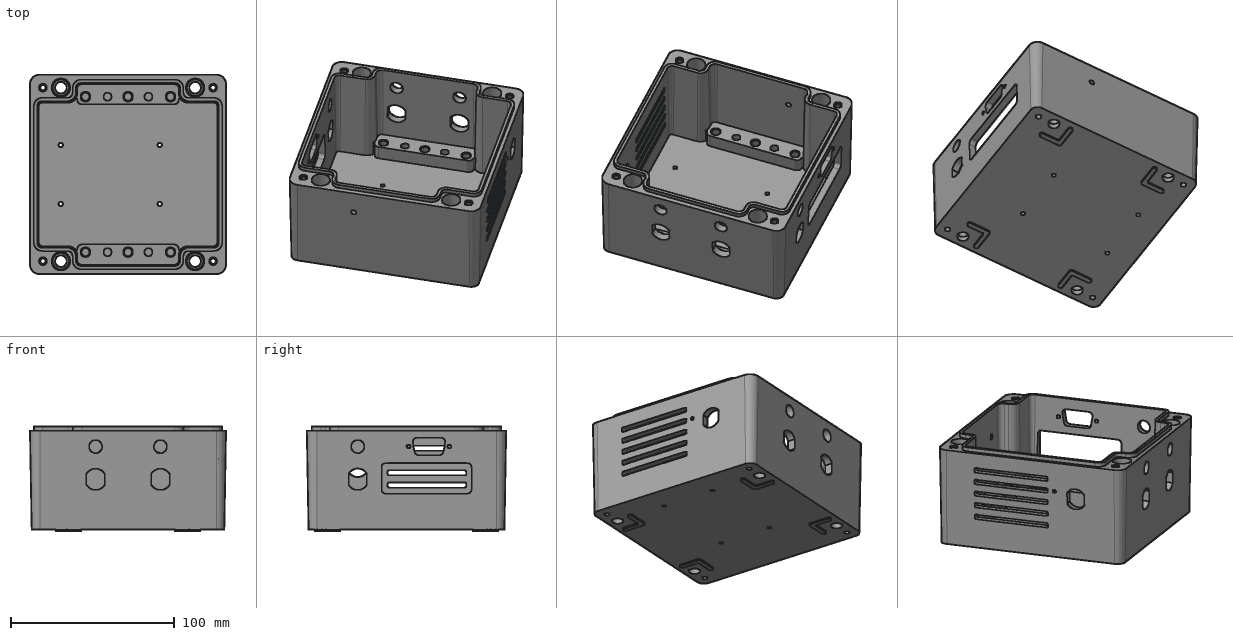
import cadquery as cq
import math

LENGTH_X = 120.0
LENGTH_Y = 122.0
BODY_HEIGHT = 60.6
LIP_HEIGHT = 2.5
FOOT_HEIGHT = 1.0
DRAFT = 1.0
CORNER_RADIUS = 6.0
FLOOR_THICKNESS = 4.0
RIM_Z = BODY_HEIGHT
LIP_Z = RIM_Z + LIP_HEIGHT

LIP_WIDTH = 2.0
LIP_HALF_X = 57.5
LIP_HALF_Y = 58.0
STEP_X = 33.9
STEP_Y = 46.8
LIP_END_RADIUS = 5.0
LIP_BULGE_RADIUS = 5.5
LIP_STEP_RADIUS = 3.0

SCREW_X = 41.0
SCREW_Y = 53.0
SCREW_HOLE_DIAMETER = 7.0
SCREW_WELL_DIAMETER = 11.3
SCREW_WELL_TAPER = 0.65
LID_HOLE_X = 52.0
LID_HOLE_Y = SCREW_Y
LID_HOLE_DIAMETER = 3.24
LID_RECESS_DIAMETER = 4.8
LID_RECESS_DEPTH = 1.0

PAD_HALF_X = 31.0
PAD_INNER_Y = 42.8
PAD_HEIGHT = 9.0
PAD_CORNER_RADIUS = 2.9
PAD_FLARE_Y = 46.2
PAD_FLARE_RADIUS = 0.4
PAD_HOLE_Y = 47.5
PAD_SCREW_XS = (-26.0, 0.0, 26.0)
PAD_PIN_XS = (-12.5, 12.5)
PAD_HOLE_DIAMETER = 4.92
PAD_SINK_DIAMETER = 6.0
PAD_SINK_ANGLE = 45.0
PAD_HOLE_DEPTH = 8.0

BOARD_HOLE_XS = (-41.1, 19.4)
BOARD_HOLE_YS = (-18.0, 18.0)
BOARD_HOLE_DIAMETER = 2.5

FOOT_INNER_X = 28.7
FOOT_INNER_Y = 40.6
FOOT_LEG = 15.6
FOOT_ARM_WIDTH = 3.0
FOOT_TIP_RADIUS = 1.4
FOOT_CROOK_RADIUS = 1.0

WALL_CUT_DEPTH = 8.0
LAMP_DIAMETER = 8.0
LAMP_DROP = 9.8
SOCKET_DIAMETER = 13.0
SOCKET_WIDTH = 11.2
SOCKET_DROP = 29.8
FRONT_SOCKET_XS = (-19.8, 19.8)
SIDE_SOCKET_Y = -29.8

VENT_COUNT = 5
VENT_LENGTH = 48.0
VENT_WIDTH = 3.0
VENT_CORNER_RADIUS = 1.0
VENT_PITCH = 7.5
VENT_Y = 12.5
VENT_TOP_DROP = 10.8
LEFT_SOCKET_DROP = 21.8
PILOT_DIAMETER = 2.0
PILOT_Y = -15.9
PILOT_DROP = 18.3
PILOT_DEPTH = 2.0
PILOT_TIP_HALF_ANGLE = 59.0

CONNECTOR_Y = 13.75
CONNECTOR_DROP = 9.7
CONNECTOR_TOP_WIDTH = 20.7
CONNECTOR_HEIGHT = 10.6
CONNECTOR_SIDE_ANGLE = 10.0
CONNECTOR_CORNER_RADIUS = 2.5
CONNECTOR_SCREW_SPACING = 25.0
CONNECTOR_SCREW_DIAMETER = 2.21
WINDOW_Y = 12.25
WINDOW_WIDTH = 55.0
WINDOW_HEIGHT = 18.6
WINDOW_DROP = 29.2
WINDOW_CORNER_RADIUS = 2.5
BACK_HOLE_X = 18.5
BACK_HOLE_DROP = 15.1
BACK_HOLE_DIAMETER = 3.24

QUADRANTS = ((1, 1), (-1, 1), (-1, -1), (1, -1))
FRONT, BACK, LEFT, RIGHT = "front", "back", "left", "right"


def rounded_outline(plane, corners):
    """Closed outline through (x, y, radius) corners, each rounded by its own radius."""
    outline = plane
    for index, (x, y, radius) in enumerate(corners):
        before = corners[index - 1]
        after = corners[(index + 1) % len(corners)]
        angle_in = math.atan2(y - before[1], x - before[0])
        angle_out = math.atan2(after[1] - y, after[0] - x)
        turn = math.remainder(angle_out - angle_in, 2 * math.pi)
        setback = radius * math.tan(abs(turn) / 2)
        start = (x - setback * math.cos(angle_in), y - setback * math.sin(angle_in))
        end = (x + setback * math.cos(angle_out), y + setback * math.sin(angle_out))
        outline = outline.lineTo(*start) if index else outline.moveTo(*start)
        if radius:
            outline = outline.radiusArc(end, -math.copysign(radius, turn))
    return outline.close()


def rectangle_corners(width, height, radius):
    return [(sx * width / 2, sy * height / 2, radius) for sx, sy in QUADRANTS]


def stepped_corners(inset):
    """Corners of the lip outline, moved inwards by inset."""
    half_x = LIP_HALF_X - inset
    half_y = LIP_HALF_Y - inset
    step_x = STEP_X - inset
    step_y = STEP_Y - inset
    inward = LIP_STEP_RADIUS + inset
    corners = []
    for sx, sy in QUADRANTS:
        quarter = [
            (sx * half_x, sy * step_y, LIP_END_RADIUS - inset),
            (sx * step_x, sy * step_y, inward),
            (sx * step_x, sy * half_y, LIP_BULGE_RADIUS - inset),
        ]
        corners += quarter if sx * sy > 0 else reversed(quarter)
    return corners


def level(z):
    return cq.Workplane("XY", origin=(0, 0, z))


def mirrored_points(x, y):
    return [(sx * x, sy * y) for sx, sy in QUADRANTS]


def make_shell():
    body = rounded_outline(level(RIM_Z), rectangle_corners(LENGTH_X, LENGTH_Y, CORNER_RADIUS))
    body = body.extrude(-BODY_HEIGHT, taper=DRAFT)
    lip = rounded_outline(level(RIM_Z), stepped_corners(0)).extrude(LIP_HEIGHT)
    return body.union(lip)


def make_cavity():
    outline = rounded_outline(level(LIP_Z), stepped_corners(LIP_WIDTH))
    return outline.extrude(FLOOR_THICKNESS - LIP_Z, taper=DRAFT)


def make_pads():
    """Pads along both Y walls; each runs on into its wall and flares where its ends meet it."""
    corners = [
        (PAD_HALF_X, PAD_INNER_Y, PAD_CORNER_RADIUS),
        (PAD_HALF_X, PAD_FLARE_Y, PAD_FLARE_RADIUS),
        (STEP_X, PAD_FLARE_Y, 0),
        (STEP_X, LIP_HALF_Y, 0),
    ]
    corners += [(-x, y, radius) for x, y, radius in reversed(corners)]
    pad = rounded_outline(level(FLOOR_THICKNESS), corners).extrude(PAD_HEIGHT)
    return pad.union(pad.mirror("XZ"))


def make_pad_holes():
    top_z = FLOOR_THICKNESS + PAD_HEIGHT
    sink_depth = (PAD_SINK_DIAMETER - PAD_HOLE_DIAMETER) / 2 / math.tan(math.radians(PAD_SINK_ANGLE))
    sides = (PAD_HOLE_Y, -PAD_HOLE_Y)
    screw_points = [(x, y) for x in PAD_SCREW_XS for y in sides]
    pin_points = [(x, y) for x in PAD_PIN_XS for y in sides]
    holes = level(top_z).pushPoints(screw_points + pin_points)
    holes = holes.circle(PAD_HOLE_DIAMETER / 2).extrude(-PAD_HOLE_DEPTH)
    sinks = level(top_z).pushPoints(screw_points)
    sinks = sinks.circle(PAD_SINK_DIAMETER / 2).extrude(-sink_depth, taper=PAD_SINK_ANGLE)
    return holes.union(sinks)


def make_corner_holes():
    through = -(BODY_HEIGHT + FOOT_HEIGHT)
    screws = level(RIM_Z).pushPoints(mirrored_points(SCREW_X, SCREW_Y))
    wells = screws.circle(SCREW_WELL_DIAMETER / 2)
    wells = wells.extrude(FLOOR_THICKNESS - RIM_Z, taper=SCREW_WELL_TAPER)
    screw_holes = screws.circle(SCREW_HOLE_DIAMETER / 2).extrude(through)
    lid = level(RIM_Z).pushPoints(mirrored_points(LID_HOLE_X, LID_HOLE_Y))
    lid_holes = lid.circle(LID_HOLE_DIAMETER / 2).extrude(through)
    lid_recesses = lid.circle(LID_RECESS_DIAMETER / 2).extrude(-LID_RECESS_DEPTH)
    return wells.union(screw_holes).union(lid_holes).union(lid_recesses)


def make_board_holes():
    points = [(x, y) for x in BOARD_HOLE_XS for y in BOARD_HOLE_YS]
    return level(0).pushPoints(points).circle(BOARD_HOLE_DIAMETER / 2).extrude(FLOOR_THICKNESS)


def make_feet():
    """L-shaped feet, each wrapping the inner side of a mounting screw."""
    inner_x, inner_y = FOOT_INNER_X, FOOT_INNER_Y
    corners = [
        (inner_x, inner_y, FOOT_TIP_RADIUS),
        (inner_x + FOOT_LEG, inner_y, FOOT_TIP_RADIUS),
        (inner_x + FOOT_LEG, inner_y + FOOT_ARM_WIDTH, FOOT_TIP_RADIUS),
        (inner_x + FOOT_ARM_WIDTH, inner_y + FOOT_ARM_WIDTH, FOOT_CROOK_RADIUS),
        (inner_x + FOOT_ARM_WIDTH, inner_y + FOOT_LEG, FOOT_TIP_RADIUS),
        (inner_x, inner_y + FOOT_LEG, FOOT_TIP_RADIUS),
    ]
    foot = rounded_outline(level(0), corners).extrude(-FOOT_HEIGHT)
    pair = foot.union(foot.mirror("YZ"))
    return pair.union(pair.mirror("XZ"))


def wall_plane(wall, along, drop):
    """Sketch plane just outside a wall, its normal pointing into the box and its y axis up."""
    z = RIM_Z - drop
    if wall in (FRONT, BACK):
        side = -1 if wall == FRONT else 1
        origin = (along, side * LENGTH_Y / 2, z)
        x_direction = (side, 0, 0)
        normal = (0, -side, 0)
    else:
        side = -1 if wall == LEFT else 1
        origin = (side * LENGTH_X / 2, along, z)
        x_direction = (0, -side, 0)
        normal = (-side, 0, 0)
    return cq.Workplane(cq.Plane(origin, x_direction, normal))


def round_cut(wall, along, drop, diameter):
    return wall_plane(wall, along, drop).circle(diameter / 2).extrude(WALL_CUT_DEPTH)


def rectangle_cut(wall, along, drop, width, height, radius):
    corners = rectangle_corners(width, height, radius)
    return rounded_outline(wall_plane(wall, along, drop), corners).extrude(WALL_CUT_DEPTH)


def socket_cut(wall, along, drop):
    """Round socket hole narrowed by two upright flats."""
    band = wall_plane(wall, along, drop).rect(SOCKET_WIDTH, SOCKET_DIAMETER).extrude(WALL_CUT_DEPTH)
    return round_cut(wall, along, drop, SOCKET_DIAMETER).intersect(band)


def front_openings():
    cuts = []
    for x in FRONT_SOCKET_XS:
        cuts.append(round_cut(FRONT, x, LAMP_DROP, LAMP_DIAMETER))
        cuts.append(socket_cut(FRONT, x, SOCKET_DROP))
    return cuts


def pilot_cut():
    """Blind drilled hole with a conical tip."""
    radius = PILOT_DIAMETER / 2
    tip_depth = PILOT_DEPTH + radius / math.tan(math.radians(PILOT_TIP_HALF_ANGLE))
    profile = wall_plane(LEFT, PILOT_Y, PILOT_DROP).transformed(rotate=(90, 0, 0))
    profile = profile.polyline([(0, 0), (radius, 0), (radius, PILOT_DEPTH), (0, tip_depth)]).close()
    return profile.revolve(360, (0, 0), (0, 1))


def left_openings():
    cuts = [
        socket_cut(LEFT, SIDE_SOCKET_Y, LEFT_SOCKET_DROP),
        pilot_cut(),
    ]
    for index in range(VENT_COUNT):
        drop = VENT_TOP_DROP + index * VENT_PITCH
        cuts.append(rectangle_cut(LEFT, VENT_Y, drop, VENT_LENGTH, VENT_WIDTH, VENT_CORNER_RADIUS))
    return cuts


def connector_cut():
    narrowing = CONNECTOR_HEIGHT * math.tan(math.radians(CONNECTOR_SIDE_ANGLE))
    half_top = CONNECTOR_TOP_WIDTH / 2
    half_bottom = half_top - narrowing
    half_height = CONNECTOR_HEIGHT / 2
    radius = CONNECTOR_CORNER_RADIUS
    corners = [
        (half_top, half_height, radius),
        (-half_top, half_height, radius),
        (-half_bottom, -half_height, radius),
        (half_bottom, -half_height, radius),
    ]
    plane = wall_plane(RIGHT, CONNECTOR_Y, CONNECTOR_DROP)
    return rounded_outline(plane, corners).extrude(WALL_CUT_DEPTH)


def right_openings():
    cuts = [
        connector_cut(),
        rectangle_cut(RIGHT, WINDOW_Y, WINDOW_DROP, WINDOW_WIDTH, WINDOW_HEIGHT, WINDOW_CORNER_RADIUS),
        round_cut(RIGHT, SIDE_SOCKET_Y, LAMP_DROP, LAMP_DIAMETER),
        socket_cut(RIGHT, SIDE_SOCKET_Y, SOCKET_DROP),
    ]
    for side in (-1, 1):
        y = CONNECTOR_Y + side * CONNECTOR_SCREW_SPACING / 2
        cuts.append(round_cut(RIGHT, y, CONNECTOR_DROP, CONNECTOR_SCREW_DIAMETER))
    return cuts


def back_openings():
    return [round_cut(BACK, BACK_HOLE_X, BACK_HOLE_DROP, BACK_HOLE_DIAMETER)]


shell = make_shell()
result = shell.cut(make_cavity())
result = result.union(make_pads().intersect(shell))
result = result.union(make_feet())
result = result.cut(make_pad_holes())
result = result.cut(make_corner_holes())
result = result.cut(make_board_holes())
for opening in front_openings() + left_openings() + right_openings() + back_openings():
    result = result.cut(opening)